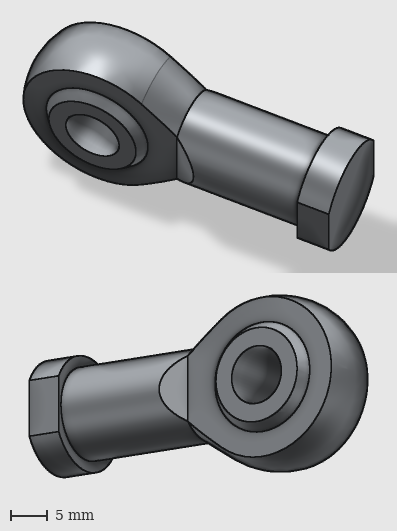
import cadquery as cq
import math

overall_length = 48.0
head_radius = 12.0
head_width = 9.05
ball_radius = 8.9
ball_width = 12.0
bore_diameter = 8.0
shank_radius = 12.9 / 2
neck_x = 12.0
taper_end_x = 15.4
collar_diameter = 16.05
collar_length = 4.75
collar_flats = 14.0

end_x = overall_length - head_radius
collar_x = end_x - collar_length


def revolved_body():
    """Spherical head, tangent cone and cylindrical shank about the X axis."""
    neck_distance = math.hypot(neck_x, shank_radius)
    tangent_angle = math.atan2(shank_radius, neck_x) + math.acos(head_radius / neck_distance)
    tangent_point = (head_radius * math.cos(tangent_angle), head_radius * math.sin(tangent_angle))
    mid_angle = (math.pi + tangent_angle) / 2
    mid_point = (head_radius * math.cos(mid_angle), head_radius * math.sin(mid_angle))
    return (
        cq.Workplane("XY")
        .moveTo(-head_radius, 0)
        .threePointArc(mid_point, tangent_point)
        .lineTo(neck_x, shank_radius)
        .lineTo(end_x, shank_radius)
        .lineTo(end_x, 0)
        .close()
        .revolve(360, (0, 0, 0), (1, 0, 0))
    )


def flat_envelope():
    """Plan outline of the parallel head faces and the slopes out to the shank."""
    half_head = head_width / 2
    return (
        cq.Workplane("XY")
        .polyline([
            (-head_radius, -half_head),
            (neck_x, -half_head),
            (taper_end_x, -shank_radius),
            (end_x, -shank_radius),
            (end_x, shank_radius),
            (taper_end_x, shank_radius),
            (neck_x, half_head),
            (-head_radius, half_head),
        ])
        .close()
        .extrude(head_radius, both=True)
    )


def ball():
    """Sphere with its two ends cut flat."""
    slab = cq.Workplane("XY").box(2 * ball_radius, ball_width, 2 * ball_radius)
    return cq.Workplane("XY").sphere(ball_radius).intersect(slab)


def collar():
    """Round collar at the shank end with two wrench flats facing Y."""
    disc = cq.Workplane("YZ", origin=(collar_x, 0, 0)).circle(collar_diameter / 2).extrude(collar_length)
    slab = cq.Workplane("XY").box(2 * overall_length, collar_flats, collar_diameter)
    return disc.intersect(slab)


bore = cq.Workplane("XZ").circle(bore_diameter / 2).extrude(ball_width, both=True)

result = revolved_body().intersect(flat_envelope()).union(ball()).union(collar()).cut(bore)